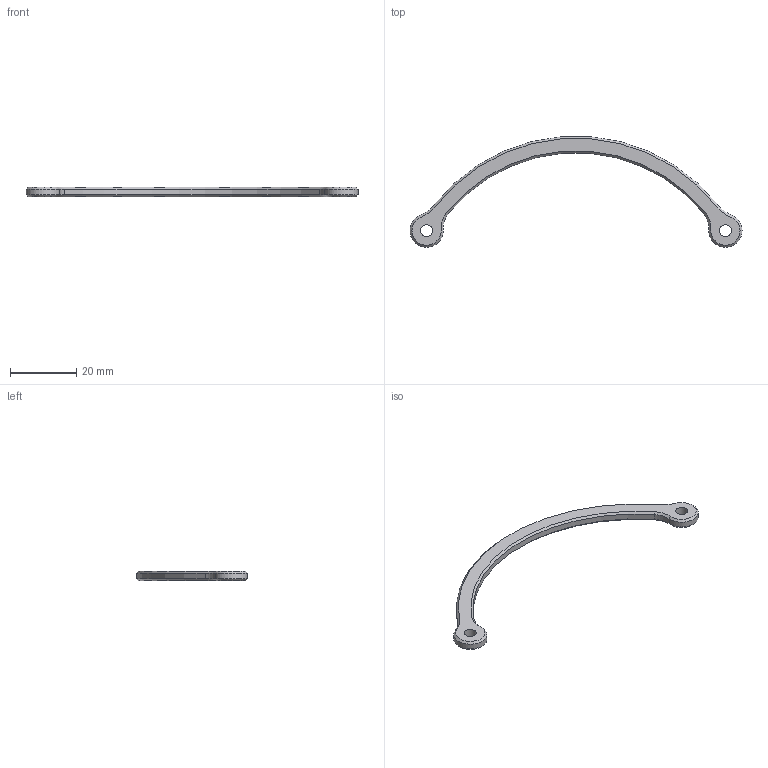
import cadquery as cq
import math

hole_spacing = 90.0
hole_diameter = 3.6
eye_diameter = 10.0
band_width = 5.0
thickness = 3.0
arc_half_angle = math.radians(60)
inner_neck_fillet = 6.9
outer_neck_fillet = 9.6
edge_chamfer = 0.6

position_tolerance = 0.001

half_spacing = hole_spacing / 2
centre_line_radius = half_spacing / math.sin(arc_half_angle)
arc_centre_y = -half_spacing / math.tan(arc_half_angle)
outer_radius = centre_line_radius + band_width / 2
inner_radius = centre_line_radius - band_width / 2
hole_centres = [(-half_spacing, 0), (half_spacing, 0)]


def arc_point(radius, angle):
    """Point on a circle about the arc centre, at an angle from +Y towards +X."""
    return (radius * math.sin(angle), arc_centre_y + radius * math.cos(angle))


def make_band():
    """Curved bar of constant width that ends at the two hole centres."""
    return (
        cq.Workplane("XY")
        .moveTo(*arc_point(outer_radius, -arc_half_angle))
        .threePointArc(arc_point(outer_radius, 0), arc_point(outer_radius, arc_half_angle))
        .lineTo(*arc_point(inner_radius, arc_half_angle))
        .threePointArc(arc_point(inner_radius, 0), arc_point(inner_radius, -arc_half_angle))
        .close()
        .extrude(thickness)
    )


def make_eyes():
    """Round pads at both ends of the band."""
    return cq.Workplane("XY").pushPoints(hole_centres).circle(eye_diameter / 2).extrude(thickness)


def distance_from_arc_centre(edge):
    """Plan distance from the arc centre to the middle of an edge."""
    return math.hypot(edge.Center().x, edge.Center().y - arc_centre_y)


def round_necks(body, side_radius, fillet_radius):
    """Fillet the two upright corners where one side of the band meets the round pads."""
    corners = body.edges("|Z").filter(
        lambda edge: math.isclose(distance_from_arc_centre(edge), side_radius, abs_tol=position_tolerance)
        and edge.Center().y > 0
    )
    return corners.fillet(fillet_radius)


def drill_holes(body):
    """Plain through hole in each pad."""
    holes = cq.Workplane("XY").pushPoints(hole_centres).circle(hole_diameter / 2).extrude(thickness)
    return body.cut(holes)


body = make_band().union(make_eyes())
body = round_necks(body, inner_radius, inner_neck_fillet)
body = round_necks(body, outer_radius, outer_neck_fillet)
body = body.faces("<Z or >Z").edges().chamfer(edge_chamfer)
result = drill_holes(body)